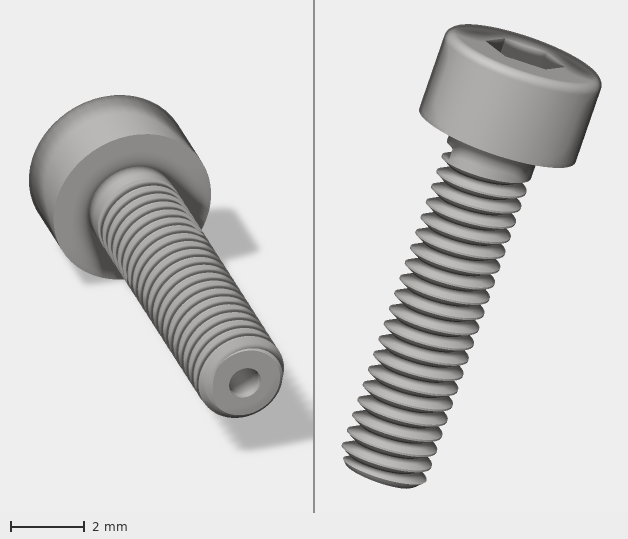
import cadquery as cq
import math

total_length = 12.43
head_diameter = 4.5
head_height = 2.41
head_fillet = 0.25
shank_diameter = 2.5
tip_chamfer = 0.25
trimmer_margin = 0.12
socket_across_flats = 2.0
socket_depth = 1.06
bore_diameter = 0.91

twenty_turn_length = 9.0
thread_pitch = twenty_turn_length / 20
thread_start = 3.21
lead_in_angle = 30
sharp_thread_height = thread_pitch * math.sqrt(3) / 2
thread_depth = sharp_thread_height * 7 / 8
cutter_overshoot = 0.01

head_radius = head_diameter / 2
shank_radius = shank_diameter / 2


def make_head():
    head = cq.Workplane("YZ").circle(head_radius).extrude(head_height)
    return head.faces("<X").edges().fillet(head_fillet)


def make_shank():
    return (
        cq.Workplane("YZ")
        .workplane(offset=head_height)
        .circle(shank_radius)
        .extrude(total_length - head_height)
    )


def make_tip_trimmer():
    inner_radius = shank_radius - tip_chamfer - trimmer_margin
    outer_radius = shank_radius + trimmer_margin
    section = [
        (total_length - tip_chamfer - trimmer_margin, outer_radius),
        (total_length + trimmer_margin, outer_radius),
        (total_length + trimmer_margin, inner_radius),
    ]
    return cq.Workplane("XY").polyline(section).close().revolve(360, (0, 0, 0), (1, 0, 0))


def make_helix_turn(radius, start_x):
    center = cq.Vector(start_x, 0, 0)
    return cq.Wire.makeHelix(thread_pitch, thread_pitch, radius, center=center, dir=cq.Vector(1, 0, 0))


def make_thread_cutter():
    outer_radius = shank_radius + cutter_overshoot
    half_width = (thread_depth + cutter_overshoot) * math.tan(math.radians(30))
    first_x = thread_start - thread_pitch * lead_in_angle / 360
    turn_count = math.ceil((total_length - first_x) / thread_pitch) + 1

    faces = []
    turns = []
    for turn in range(turn_count):
        turn_x = first_x + turn * thread_pitch
        root = make_helix_turn(shank_radius - thread_depth, turn_x)
        left_edge = make_helix_turn(outer_radius, turn_x - half_width)
        right_edge = make_helix_turn(outer_radius, turn_x + half_width)
        turns.append([root, left_edge, right_edge])
        for first, second in [(root, left_edge), (left_edge, right_edge), (right_edge, root)]:
            faces.extend(cq.Face.makeRuledSurface(first, second).Faces())

    start_points = [helix.startPoint() for helix in turns[0]]
    end_points = [helix.endPoint() for helix in turns[-1]]
    for points in [start_points, end_points]:
        faces.append(cq.Face.makeFromWires(cq.Wire.makePolygon(points, close=True)))

    cutter = cq.Workplane(obj=cq.Solid.makeSolid(cq.Shell.makeShell(faces)))
    built_angle = math.degrees(math.atan2(start_points[0].z, start_points[0].y))
    return cutter.rotate((0, 0, 0), (1, 0, 0), -lead_in_angle - built_angle)


def make_socket():
    across_corners = socket_across_flats / math.cos(math.pi / 6)
    return cq.Workplane("YZ").polygon(6, across_corners).extrude(socket_depth)


def make_bore():
    return cq.Workplane("YZ").circle(bore_diameter / 2).extrude(total_length)


threaded_shank = make_shank().cut(make_thread_cutter()).cut(make_tip_trimmer())
result = make_head().union(threaded_shank).cut(make_socket()).cut(make_bore())